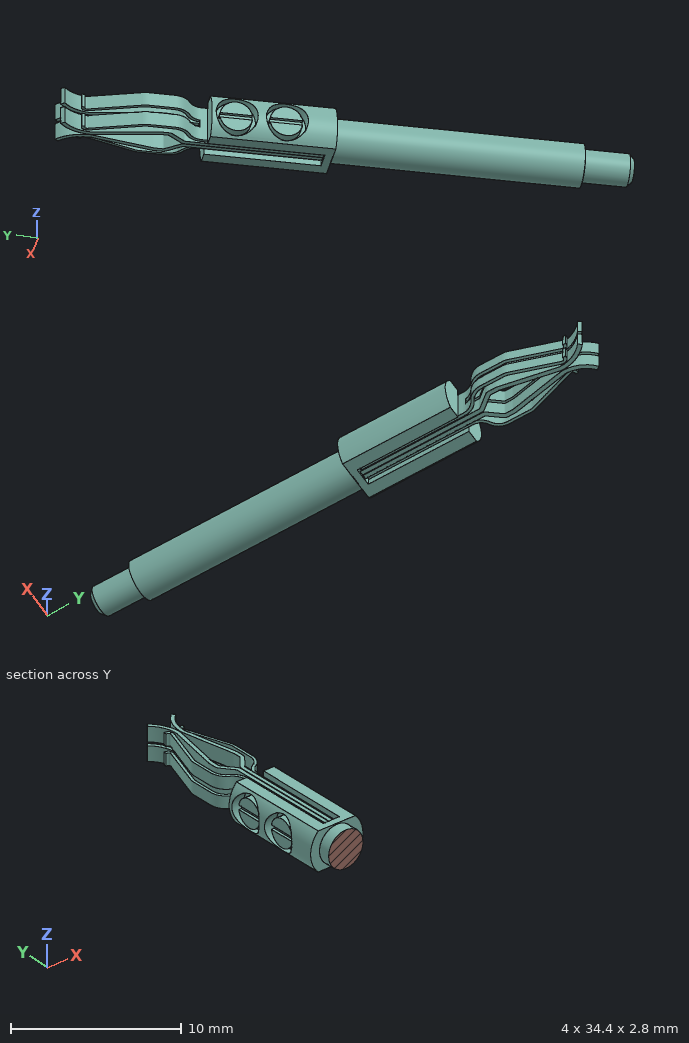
import math

import cadquery as cq

total_length = 34.35

tail_length = 3.05
tail_diameter = 2.0
tail_chamfer = 0.3
shank_length = 14.95
shank_diameter = 2.65
guide_bore_diameter = 2.25
guide_bore_depth = 0.3

block_diameter = 4.0
block_height = 2.8
block_length = 7.5
block_start = tail_length + shank_length
block_end = block_start + block_length
slot_width = 1.2
slot_floor_thickness = 0.5
slot_floor = block_start + slot_floor_thickness

screw_count = 2
screw_spacing = 3.0
screw_from_block_end = 1.5
pocket_diameter = 2.5
pocket_floor_x = -1.1
screw_diameter = 1.95
screw_face_x = -1.7
screw_slot_width = 0.3
screw_slot_depth = 0.2

inner_gap = 0.04
inner_thickness = 0.28
outer_thickness = 0.2
inner_height = 2.4
outer_height = 2.2
inner_slit = 0.25
outer_slit = 0.45
slit_from_block_end = 0.45
slit_floor = block_end + slit_from_block_end
inner_leg_x = (inner_gap + inner_thickness) / 2
outer_leg_x = inner_leg_x + (inner_thickness + outer_thickness) / 2
outer_end_clearance = 0.1

inner_belly_x = 0.93
inner_neck_angle = math.radians(39)
inner_neck_y = 26.87
inner_belly_start = inner_neck_y + (inner_belly_x - inner_leg_x) / math.tan(inner_neck_angle)
inner_belly_end = 28.45
inner_nose_y = 32.35
inner_bend_radius = 0.3
flare_angle = math.radians(50)
flare_radius = 2.37

outer_belly_x = 1.5
outer_neck_angle = math.radians(61)
outer_neck_y = 26.43
outer_belly_start = outer_neck_y + (outer_belly_x - outer_leg_x) / math.tan(outer_neck_angle)
outer_belly_end = 29.38
outer_belly_radius = 1.075
outer_bend_radius = 0.9
outer_nose_x = 0.3
outer_tab_y = 32.95
outer_tab_end = 0.7
outer_tab_radius = 0.24

shortest_run = 1e-6


def bar(diameter, start, length):
    """Round bar along Y."""
    return cq.Workplane("XZ", origin=(0, start, 0)).circle(diameter / 2).extrude(-length)


def shank():
    """Shank with a shallow clearance bore round the root of the tail."""
    tail = bar(tail_diameter, 0, tail_length + guide_bore_depth).faces("<Y").chamfer(tail_chamfer)
    body = bar(shank_diameter, tail_length, shank_length)
    guide_bore = bar(guide_bore_diameter, tail_length, guide_bore_depth)
    body = body.cut(guide_bore)
    return tail.union(body)


def screw_pocket(y):
    """Round pocket, open through the -X side of the block."""
    depth = block_diameter / 2 + pocket_floor_x
    return (
        cq.Workplane("YZ", origin=(pocket_floor_x, y, 0))
        .circle(pocket_diameter / 2)
        .extrude(-depth)
    )


def screw_head(y):
    """Slotted screw head standing up from the pocket floor."""
    head = (
        cq.Workplane("YZ", origin=(pocket_floor_x, y, 0))
        .circle(screw_diameter / 2)
        .extrude(screw_face_x - pocket_floor_x)
    )
    slot = cq.Workplane("XY", origin=(screw_face_x, y, 0)).box(
        2 * screw_slot_depth, screw_diameter, screw_slot_width
    )
    return head.cut(slot)


def block():
    body = bar(block_diameter, block_start, block_length)
    flats = cq.Workplane("XY").box(block_diameter, 2 * total_length, block_height)
    body = body.intersect(flats)
    slot_length = block_end - slot_floor
    slot = cq.Workplane("XY", origin=(0, slot_floor + slot_length / 2, 0)).box(
        slot_width, slot_length, block_height
    )
    body = body.cut(slot)
    for index in range(screw_count):
        y = block_end - screw_from_block_end - index * screw_spacing
        body = body.cut(screw_pocket(y)).union(screw_head(y))
    return body


def add_run(edges, start, end):
    """Append a straight edge, unless the bends on either side already meet."""
    if (end - start).Length > shortest_run:
        edges.append(cq.Edge.makeLine(start, end))


def bent_strip(corners, radii, thickness, height):
    """Strip bent along a centreline of straight runs, rounded to a centreline radius at each bend."""
    half = thickness / 2
    directions = []
    for start, end in zip(corners, corners[1:]):
        directions.append((end - start).normalized())

    def left_of(direction):
        return cq.Vector(-direction.y, direction.x, 0)

    def side_wire_edges(offset):
        """Edges of one face of the strip, running from the first corner to the last."""
        edges = []
        here = corners[0] + left_of(directions[0]) * offset
        for corner, radius, before, after in zip(corners[1:], radii, directions, directions[1:]):
            turn = math.atan2(before.cross(after).z, before.dot(after))
            side = math.copysign(1, turn)
            setback = radius * math.tan(abs(turn) / 2)
            arc_start = corner - before * setback
            centre = arc_start + left_of(before) * (side * radius)
            face_radius = radius - side * offset
            middle = (left_of(before) + left_of(after)).normalized()
            bend_start = arc_start + left_of(before) * offset
            bend_middle = centre - middle * (side * face_radius)
            bend_end = corner + after * setback + left_of(after) * offset
            add_run(edges, here, bend_start)
            edges.append(cq.Edge.makeThreePointArc(bend_start, bend_middle, bend_end))
            here = bend_end
        last = corners[-1] + left_of(directions[-1]) * offset
        add_run(edges, here, last)
        return edges

    near = side_wire_edges(half)
    far = side_wire_edges(-half)
    ends = [
        cq.Edge.makeLine(near[0].startPoint(), far[0].startPoint()),
        cq.Edge.makeLine(near[-1].endPoint(), far[-1].endPoint()),
    ]
    outline = cq.Wire.assembleEdges(near + [ends[1]] + far[::-1] + [ends[0]])
    solid = cq.Solid.extrudeLinear(outline, [], cq.Vector(0, 0, height))
    return cq.Workplane(solid.translate(cq.Vector(0, 0, -height / 2)))


def split(strip, slit):
    """Divide a strip into an upper and a lower finger."""
    length = total_length - slit_floor
    cutter = cq.Workplane("XY", origin=(0, slit_floor + length / 2, 0)).box(
        block_diameter, length, slit
    )
    return strip.cut(cutter)


def inner_spring():
    flare_start = total_length - (flare_radius + inner_thickness / 2) * math.sin(flare_angle)
    flare_setback = flare_radius * math.tan(flare_angle / 2)
    flare_corner = cq.Vector(inner_leg_x, flare_start + flare_setback)
    flare_direction = cq.Vector(math.sin(flare_angle), math.cos(flare_angle))
    corners = [
        cq.Vector(inner_leg_x, slot_floor),
        cq.Vector(inner_leg_x, inner_neck_y),
        cq.Vector(inner_belly_x, inner_belly_start),
        cq.Vector(inner_belly_x, inner_belly_end),
        cq.Vector(inner_leg_x, inner_nose_y),
        flare_corner,
        flare_corner + flare_direction * flare_setback,
    ]
    plain_bends = len(corners) - 3
    radii = [inner_bend_radius] * plain_bends + [flare_radius]
    return split(bent_strip(corners, radii, inner_thickness, inner_height), inner_slit)


def outer_spring():
    neck_run = (outer_belly_x - outer_leg_x) / math.sin(outer_neck_angle)
    outer_neck_radius = neck_run / math.tan(outer_neck_angle / 2) - outer_belly_radius
    corners = [
        cq.Vector(outer_leg_x, slot_floor + outer_end_clearance),
        cq.Vector(outer_leg_x, outer_neck_y),
        cq.Vector(outer_belly_x, outer_belly_start),
        cq.Vector(outer_belly_x, outer_belly_end),
        cq.Vector(outer_nose_x, outer_tab_y),
        cq.Vector(outer_tab_end, outer_tab_y),
    ]
    radii = [
        outer_neck_radius,
        outer_belly_radius,
        outer_bend_radius,
        outer_tab_radius,
    ]
    return split(bent_strip(corners, radii, outer_thickness, outer_height), outer_slit)


springs = inner_spring().union(outer_spring())
result = shank().union(block()).union(springs).union(springs.mirror("YZ"))